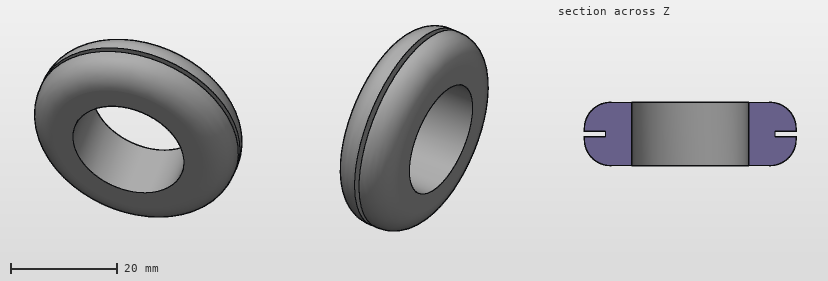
import cadquery as cq
import math

outer_diameter = 40.0
bore_diameter = 22.0
groove_diameter = 32.0
ring_width = 12.0
groove_width = 1.0
shoulder_radius = 5.0

outer_radius = outer_diameter / 2
bore_radius = bore_diameter / 2
groove_radius = groove_diameter / 2
half_width = ring_width / 2
half_groove = groove_width / 2

shoulder_center_y = half_width - shoulder_radius
shoulder_center_z = outer_radius - shoulder_radius
shoulder_mid_y = shoulder_center_y + shoulder_radius * math.cos(math.pi / 4)
shoulder_mid_z = shoulder_center_z + shoulder_radius * math.sin(math.pi / 4)


def make_cross_section():
    """Ring section in the YZ plane, above the axis, as (y, z) points."""
    return (
        cq.Workplane("YZ")
        .moveTo(-half_width, bore_radius)
        .lineTo(half_width, bore_radius)
        .lineTo(half_width, shoulder_center_z)
        .threePointArc((shoulder_mid_y, shoulder_mid_z), (shoulder_center_y, outer_radius))
        .lineTo(half_groove, outer_radius)
        .lineTo(half_groove, groove_radius)
        .lineTo(-half_groove, groove_radius)
        .lineTo(-half_groove, outer_radius)
        .lineTo(-shoulder_center_y, outer_radius)
        .threePointArc((-shoulder_mid_y, shoulder_mid_z), (-half_width, shoulder_center_z))
        .close()
    )


result = make_cross_section().revolve(360, (0, 0), (1, 0))